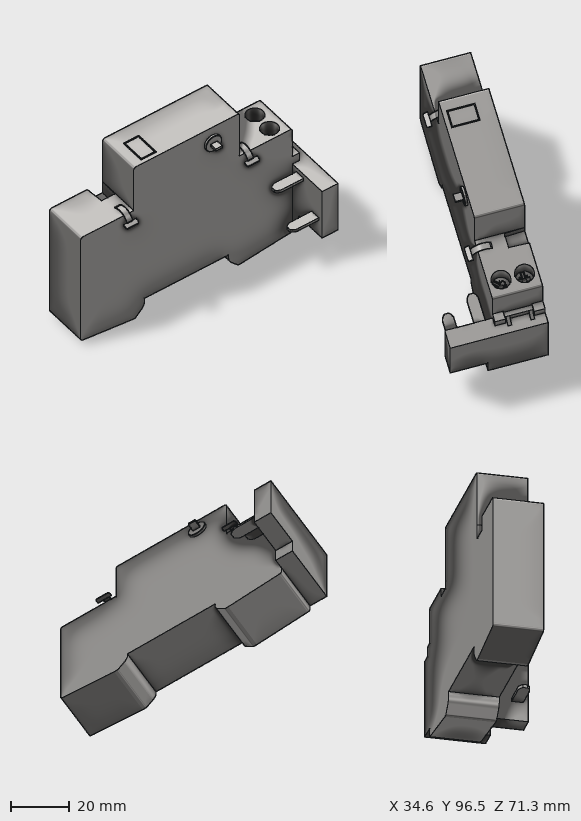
import cadquery as cq
import math

WIDTH = 17.8
REAR_Y = 89.7
SHOULDER_Z = 51.05
TOP_Z = 71.1
TOWER_FRONT_Y = 22.5
TOWER_REAR_Y = 67.4
EDGE_RADIUS = 1.1

RAIL_FRONT_Y = 27.1
RAIL_REAR_Y = 62.7
RAIL_ROOF_Z = 7.0
RAIL_WALL = 1.3
HEEL_RADIUS = 4.4
FOOT_OUTER_Z = 2.5
TOE_FLAT = 1.4
TOE_RADIUS = 0.8
HEEL_RUN = HEEL_RADIUS * (1 - math.sqrt(0.5))
HEEL_END_Z = RAIL_ROOF_Z - RAIL_WALL - HEEL_RADIUS * math.sqrt(0.5)

NOTCH_WIDTH = 7.3
REAR_NOTCH_LENGTH = 6.1
REAR_NOTCH_FLOOR_Z = 48.1
FRONT_NOTCH_LENGTH = 6.7
FRONT_NOTCH_FLOOR_Z = 45.8
NOTCH_TOWER_DRAFT = 0.3
REAR_NOTCH_DRAFT = 0.3
FRONT_NOTCH_DRAFT = 0.6

SCREW_X = (4.7, 13.0)
SCREW_TURN = (0, 45)
SCREW_Y = 83.6
SCREW_HOLE_DIAMETER = 6.8
SCREW_HOLE_DEPTH = 7.7
SCREW_HEAD_DIAMETER = 6.5
SCREW_HEAD_HEIGHT = 1.9
SCREW_RECESS_DEPTH = 0.8
SCREW_SOCKET_DIAMETER = 2.9
SCREW_SOCKET_DEPTH = 1.7
SCREW_SLOT_WIDTH = 1.4
SCREW_SLOT_DEPTH = 0.4
SCREW_SLOT_FLOOR_WIDTH = 0.8
SCREW_CROSS_LENGTH = 4.1
SCREW_RAY_WIDTH = 0.2

LABEL_X = 6.1
LABEL_Y = 26.8
LABEL_LENGTH = 10.0
LABEL_DEPTH = 6.5
LABEL_HEIGHT = 0.2
LABEL_RIM = 0.4

CLIP_Y = (19.3, 70.5)
CLIP_WIDTH = 2.4
CLIP_HEAD_WIDTH = 5.4
CLIP_THICKNESS = 0.4
CLIP_ROOT = (12.4, 50.9)
CLIP_CREST = (15.6, 52.1)
CLIP_BEND = (19.9, 49.4)
CLIP_TIP_X = 21.6
CLIP_TIP_Z = 48.3
CLIP_HEAD_DROP = 0.3
CLIP_HEAD_CHAMFER = 0.4

KNOB_Y = 55.8
KNOB_Z = 64.2
KNOB_DIAMETER = 6.8
KNOB_LENGTH = 1.0
KNOB_CHAMFER = 0.14
KNOB_TAB_END_X = 21.6
KNOB_TAB_WIDTH = 2.8
KNOB_TAB_THICKNESS = 1.0

BLOCK_END_X = 34.6
BLOCK_LEG_END_X = 21.3
BLOCK_REAR_Y = 96.5
BLOCK_TOP_Z = 34.4
BLOCK_STEP_Z = 12.45
BLOCK_BOTTOM_Z = 5.8
BLADES = ((22.1, 31.9), (30.8, 20.1))
BLADE_WIDTH = 4.1
BLADE_THICKNESS = 1.2
BLADE_TIP_Y = 78.4
BLADE_TAPER = 2.1
BLADE_TIP_WIDTH = 1.5
BLADE_BULGE = 0.4

LEDGE_REAR_Y = 92.7
LEDGE_TOP_Z = 37.9
LEDGE_GAP_START_X = 3.9
LEDGE_GAP_END_X = 14.0
RIB_X = (4.1, 12.2)
RIB_WIDTH = 1.35
RIB_ROOT_Y = 91.5
RIB_END_Y = 94.0


def box(x0, x1, y0, y1, z0, z1):
    """Axis-aligned block between two corners."""
    return cq.Workplane("XY").box(x1 - x0, y1 - y0, z1 - z0, centered=False).translate((x0, y0, z0))


def rail_recess(toe_front_y, toe_rear_y):
    """Rail recess cut along X; each heel runs down a wall, round an arc and out at 45 degrees."""
    arc_start_z = RAIL_ROOF_Z - RAIL_WALL
    middle_run = HEEL_RADIUS * (1 - math.cos(math.pi / 8))
    middle_z = arc_start_z - HEEL_RADIUS * math.sin(math.pi / 8)
    return (
        cq.Workplane("YZ")
        .moveTo(RAIL_FRONT_Y, RAIL_ROOF_Z)
        .lineTo(RAIL_FRONT_Y, arc_start_z)
        .threePointArc((RAIL_FRONT_Y - middle_run, middle_z), (RAIL_FRONT_Y - HEEL_RUN, HEEL_END_Z))
        .lineTo(toe_front_y, 0)
        .lineTo(toe_rear_y, 0)
        .lineTo(RAIL_REAR_Y + HEEL_RUN, HEEL_END_Z)
        .threePointArc((RAIL_REAR_Y + middle_run, middle_z), (RAIL_REAR_Y, arc_start_z))
        .lineTo(RAIL_REAR_Y, RAIL_ROOF_Z)
        .close()
        .extrude(WIDTH)
    )


def housing():
    """Stepped body with the rail recess, sloped feet and rounded outer edges."""
    toe_front_y = RAIL_FRONT_Y - HEEL_RUN - HEEL_END_Z
    toe_rear_y = RAIL_REAR_Y + HEEL_RUN + HEEL_END_Z
    outline = [
        (0, FOOT_OUTER_Z),
        (0, SHOULDER_Z),
        (TOWER_FRONT_Y, SHOULDER_Z),
        (TOWER_FRONT_Y, TOP_Z),
        (TOWER_REAR_Y, TOP_Z),
        (TOWER_REAR_Y, SHOULDER_Z),
        (REAR_Y, SHOULDER_Z),
        (REAR_Y, FOOT_OUTER_Z),
        (toe_rear_y + TOE_FLAT, 0),
        (toe_front_y - TOE_FLAT, 0),
    ]
    body = cq.Workplane("YZ").polyline(outline).close().extrude(WIDTH)
    body = body.cut(rail_recess(toe_front_y, toe_rear_y))
    rounded = (
        (0, FOOT_OUTER_Z),
        (0, SHOULDER_Z),
        (TOWER_FRONT_Y, TOP_Z),
        (TOWER_REAR_Y, TOP_Z),
        (REAR_Y, SHOULDER_Z),
        (REAR_Y, FOOT_OUTER_Z),
    )
    for y, z in rounded:
        edge = cq.selectors.NearestToPointSelector((WIDTH / 2, y, z))
        body = body.edges("|X").edges(edge).fillet(EDGE_RADIUS)
    for y in (toe_front_y, toe_rear_y):
        edge = cq.selectors.NearestToPointSelector((WIDTH / 2, y, 0))
        body = body.edges("|X").edges(edge).fillet(TOE_RADIUS)
    return body


def side_notch(tower_y, direction, length, draft, floor_z):
    """Pocket in the -X edge of a shoulder, from the tower outwards, narrowing towards +X."""
    outline = [
        (0, tower_y),
        (0, tower_y + direction * length),
        (NOTCH_WIDTH, tower_y + direction * (length - draft)),
        (NOTCH_WIDTH, tower_y + direction * NOTCH_TOWER_DRAFT),
    ]
    return (
        cq.Workplane("XY", origin=(0, 0, floor_z))
        .polyline(outline)
        .close()
        .extrude(SHOULDER_Z - floor_z)
    )


def screw_hole(x):
    """Vertical terminal hole in the rear shoulder."""
    return (
        cq.Workplane("XY", origin=(x, SCREW_Y, SHOULDER_Z - SCREW_HOLE_DEPTH))
        .circle(SCREW_HOLE_DIAMETER / 2)
        .extrude(SCREW_HOLE_DEPTH)
    )


def screw_head(x, turn):
    """Screw head on the hole floor, with a stepped slot, a cross, four rays and a conical socket."""
    head = cq.Workplane("XY").circle(SCREW_HEAD_DIAMETER / 2).extrude(SCREW_HEAD_HEIGHT)
    grooves = (
        (SCREW_SLOT_WIDTH, SCREW_HEAD_DIAMETER, SCREW_SLOT_DEPTH, 0),
        (SCREW_SLOT_FLOOR_WIDTH, SCREW_HEAD_DIAMETER, SCREW_RECESS_DEPTH, 0),
        (SCREW_CROSS_LENGTH, SCREW_SLOT_WIDTH, SCREW_RECESS_DEPTH, 0),
        (SCREW_CROSS_LENGTH, SCREW_RAY_WIDTH, SCREW_SLOT_DEPTH, 45),
        (SCREW_CROSS_LENGTH, SCREW_RAY_WIDTH, SCREW_SLOT_DEPTH, -45),
    )
    for length_x, length_y, depth, angle in grooves:
        groove = (
            cq.Workplane("XY", origin=(0, 0, SCREW_HEAD_HEIGHT - depth))
            .transformed(rotate=(0, 0, angle))
            .rect(length_x, length_y)
            .extrude(depth)
        )
        head = head.cut(groove)
    socket = cq.Solid.makeCone(
        0,
        SCREW_SOCKET_DIAMETER / 2,
        SCREW_SOCKET_DEPTH,
        pnt=cq.Vector(0, 0, SCREW_HEAD_HEIGHT - SCREW_SOCKET_DEPTH),
    )
    head = head.cut(cq.Workplane(obj=socket)).rotate((0, 0, 0), (0, 0, 1), turn)
    return head.translate((x, SCREW_Y, SHOULDER_Z - SCREW_HOLE_DEPTH))


def label_frame():
    """Thin raised rim around the label field."""
    end_x = LABEL_X + LABEL_LENGTH
    end_y = LABEL_Y + LABEL_DEPTH
    plate = box(LABEL_X, end_x, LABEL_Y, end_y, TOP_Z, TOP_Z + LABEL_HEIGHT)
    field = box(
        LABEL_X + LABEL_RIM, end_x - LABEL_RIM, LABEL_Y + LABEL_RIM, end_y - LABEL_RIM,
        TOP_Z, TOP_Z + LABEL_HEIGHT,
    )
    return plate.cut(field)


def spring_clip(y):
    """Bowed strip that leaves the shoulder, passes the +X edge and ends in a wide head."""
    root_x, root_z = CLIP_ROOT
    crest_x, crest_z = CLIP_CREST
    bend_x, bend_z = CLIP_BEND
    strip = (
        cq.Workplane("XZ", origin=(0, y + CLIP_WIDTH / 2, 0))
        .moveTo(root_x, root_z)
        .threePointArc((crest_x, crest_z), (bend_x, bend_z))
        .lineTo(bend_x, bend_z - CLIP_THICKNESS)
        .threePointArc((crest_x, crest_z - CLIP_THICKNESS), (root_x + CLIP_THICKNESS, root_z))
        .close()
        .extrude(CLIP_WIDTH)
    )
    head = (
        cq.Workplane("XZ", origin=(0, y + CLIP_HEAD_WIDTH / 2, 0))
        .moveTo(bend_x, bend_z)
        .lineTo(CLIP_TIP_X, CLIP_TIP_Z + CLIP_THICKNESS)
        .lineTo(CLIP_TIP_X, CLIP_TIP_Z)
        .lineTo(bend_x, bend_z - CLIP_THICKNESS - CLIP_HEAD_DROP)
        .close()
        .extrude(CLIP_HEAD_WIDTH)
    )
    head = head.faces(">X").edges("not |Y").chamfer(CLIP_HEAD_CHAMFER)
    return strip.union(head)


def coupling_knob():
    """Round disc with a broken edge and a flat tab, standing on the +X side."""
    base = cq.Workplane("YZ", origin=(WIDTH, KNOB_Y, KNOB_Z)).circle(KNOB_DIAMETER / 2)
    base = base.extrude(KNOB_LENGTH).faces(">X").edges().chamfer(KNOB_CHAMFER)
    tab = box(
        WIDTH, KNOB_TAB_END_X,
        KNOB_Y - KNOB_TAB_WIDTH / 2, KNOB_Y + KNOB_TAB_WIDTH / 2,
        KNOB_Z - KNOB_TAB_THICKNESS / 2, KNOB_Z + KNOB_TAB_THICKNESS / 2,
    )
    return base.union(tab)


def busbar_block():
    """L-shaped block behind the housing, reaching out past its +X side."""
    outline = [
        (0, BLOCK_BOTTOM_Z),
        (BLOCK_LEG_END_X, BLOCK_BOTTOM_Z),
        (BLOCK_LEG_END_X, BLOCK_STEP_Z),
        (BLOCK_END_X, BLOCK_STEP_Z),
        (BLOCK_END_X, BLOCK_TOP_Z),
        (0, BLOCK_TOP_Z),
    ]
    return (
        cq.Workplane("XZ", origin=(0, BLOCK_REAR_Y, 0))
        .polyline(outline)
        .close()
        .extrude(BLOCK_REAR_Y - REAR_Y)
    )


def blade(x, z):
    """Flat contact blade pointing forward, with a rounded-off tip."""
    half = BLADE_WIDTH / 2
    tip = BLADE_TIP_WIDTH / 2
    shoulder_y = BLADE_TIP_Y + BLADE_TAPER
    bulge_x = half - (half - tip) * BLADE_BULGE
    bulge_y = shoulder_y - BLADE_TAPER * (1 - BLADE_BULGE)
    return (
        cq.Workplane("XY", origin=(x, 0, z - BLADE_THICKNESS / 2))
        .moveTo(-half, REAR_Y)
        .lineTo(-half, shoulder_y)
        .threePointArc((-bulge_x, bulge_y), (-tip, BLADE_TIP_Y))
        .lineTo(tip, BLADE_TIP_Y)
        .threePointArc((bulge_x, bulge_y), (half, shoulder_y))
        .lineTo(half, REAR_Y)
        .close()
        .extrude(BLADE_THICKNESS)
    )


def ledge():
    """Ledge on the block, with a lower middle that carries two 45 degree ribs."""
    rib_top_z = BLOCK_TOP_Z + RIB_END_Y - RIB_ROOT_Y
    wall = box(0, WIDTH, REAR_Y, LEDGE_REAR_Y, BLOCK_TOP_Z, LEDGE_TOP_Z)
    wall = wall.cut(
        box(LEDGE_GAP_START_X, LEDGE_GAP_END_X, REAR_Y, LEDGE_REAR_Y, BLOCK_TOP_Z, LEDGE_TOP_Z)
    )
    middle = box(LEDGE_GAP_START_X, LEDGE_GAP_END_X, REAR_Y, RIB_ROOT_Y, BLOCK_TOP_Z, rib_top_z)
    wall = wall.union(middle)
    profile = [(RIB_ROOT_Y, BLOCK_TOP_Z), (RIB_END_Y, BLOCK_TOP_Z), (RIB_ROOT_Y, rib_top_z)]
    for x in RIB_X:
        rib = cq.Workplane("YZ", origin=(x, 0, 0)).polyline(profile).close().extrude(RIB_WIDTH)
        wall = wall.union(rib)
    return wall


result = (
    housing()
    .cut(side_notch(TOWER_REAR_Y, 1, REAR_NOTCH_LENGTH, REAR_NOTCH_DRAFT, REAR_NOTCH_FLOOR_Z))
    .cut(side_notch(TOWER_FRONT_Y, -1, FRONT_NOTCH_LENGTH, FRONT_NOTCH_DRAFT, FRONT_NOTCH_FLOOR_Z))
    .union(label_frame())
    .union(coupling_knob())
)
for screw_x, screw_turn in zip(SCREW_X, SCREW_TURN):
    result = result.cut(screw_hole(screw_x)).union(screw_head(screw_x, screw_turn))
for clip_y in CLIP_Y:
    result = result.union(spring_clip(clip_y))
result = result.union(busbar_block()).union(ledge())
for blade_x, blade_z in BLADES:
    result = result.union(blade(blade_x, blade_z))